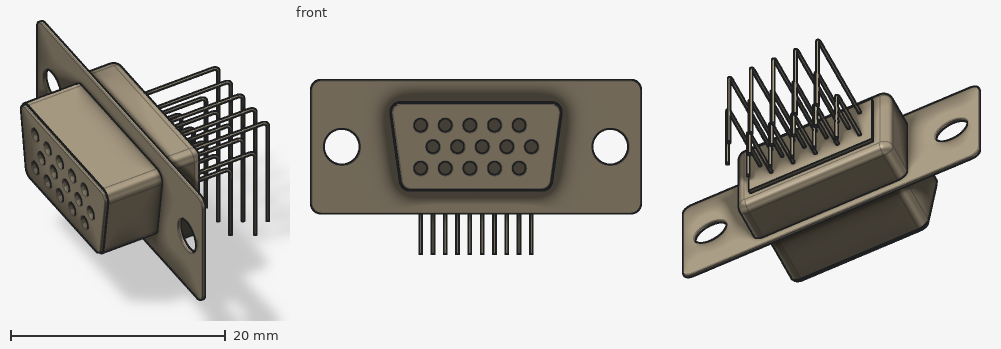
import cadquery as cq
import math


TOTAL_DEPTH = 19.9

FLANGE_WIDTH = 30.8
FLANGE_HEIGHT = 12.5
FLANGE_THICKNESS = 0.4
FLANGE_CORNER_RADIUS = 1.0
FLANGE_EDGE_FILLET = 0.1
SCREW_HOLE_DIAMETER = 3.3
SCREW_HOLE_SPACING = 25.0

MATING_LENGTH = 6.1
SHELL_TOP = 4.2
SHELL_BOTTOM = -4.13
SHELL_TOP_WIDTH = 16.32
SHELL_SIDE_ANGLE = 8.0
SHELL_CORNER_RADIUS = 1.02

LIP_LENGTH = 0.3
LIP_INSET = 0.12
LIP_FILLET = 0.12

HOUSING_WIDTH = 15.92
HOUSING_HEIGHT = 10.32
HOUSING_LENGTH = 3.97
HOUSING_CORNER_RADIUS = 1.0
HOUSING_BACK_FILLET = 0.92
PLATE_WIDTH = 12.75
PLATE_HEIGHT = 7.27
PLATE_THICKNESS = 0.35

CONTACT_ROWS = 3
CONTACTS_PER_ROW = 5
CONTACT_FIELD_WIDTH = 10.32
CONTACT_PITCH = CONTACT_FIELD_WIDTH / (CONTACTS_PER_ROW - 0.5)
ROW_SPACING = 2.0
SOCKET_DIAMETER = 1.2
SOCKET_EDGE_FILLET = 0.1
SOCKET_DEPTH = MATING_LENGTH
PIN_DIAMETER = 0.3
PIN_BEND_RADIUS = 0.6
PIN_BOTTOM = -10.0

HOUSING_BACK = FLANGE_THICKNESS + HOUSING_LENGTH
PLATE_BACK = HOUSING_BACK + PLATE_THICKNESS
LAST_PIN_Y = TOTAL_DEPTH - MATING_LENGTH - PIN_DIAMETER / 2


def facing_back(y):
    """Workplane at depth y with local axes X and Z; extruding a positive distance goes toward -Y."""
    return cq.Workplane("XZ", origin=(0, y, 0))


def contact_positions():
    """(row, x, z) of every contact; row 0 is the top row."""
    positions = []
    for row in range(CONTACT_ROWS):
        stagger = CONTACT_PITCH / 4 if row == 1 else -CONTACT_PITCH / 4
        for column in range(CONTACTS_PER_ROW):
            x = stagger + (column - (CONTACTS_PER_ROW - 1) / 2) * CONTACT_PITCH
            positions.append((row, x, (1 - row) * ROW_SPACING))
    return positions


def make_flange():
    """Rounded plate with two screw holes and softened edges."""
    half_spacing = SCREW_HOLE_SPACING / 2
    blank = facing_back(FLANGE_THICKNESS).rect(FLANGE_WIDTH, FLANGE_HEIGHT).extrude(FLANGE_THICKNESS)
    return (
        blank.edges("|Y").fillet(FLANGE_CORNER_RADIUS)
        .faces("<Y").workplane(origin=(0, 0, 0))
        .pushPoints([(-half_spacing, 0), (half_spacing, 0)])
        .hole(SCREW_HOLE_DIAMETER)
        .faces("<Y or >Y").edges().fillet(FLANGE_EDGE_FILLET)
    )


def d_prism(inset, front_y):
    """Rounded D-shaped prism from the back of the flange forward to front_y, shrunk all round by inset."""
    half_top = SHELL_TOP_WIDTH / 2
    taper = (SHELL_TOP - SHELL_BOTTOM) * math.tan(math.radians(SHELL_SIDE_ANGLE))
    half_bottom = half_top - taper
    outline = [
        (-half_top, SHELL_TOP),
        (half_top, SHELL_TOP),
        (half_bottom, SHELL_BOTTOM),
        (-half_bottom, SHELL_BOTTOM),
    ]
    sketch = facing_back(FLANGE_THICKNESS).polyline(outline).close()
    if inset:
        sketch = sketch.offset2D(-inset)
    prism = sketch.extrude(FLANGE_THICKNESS - front_y)
    return prism.edges("|Y").fillet(SHELL_CORNER_RADIUS - inset)


def make_mating_body():
    """Shell with the insulator lip, both running back through the flange."""
    shell = d_prism(0, LIP_LENGTH - MATING_LENGTH)
    insulator = d_prism(LIP_INSET, -MATING_LENGTH).faces("<Y").edges().fillet(LIP_FILLET)
    return shell.union(insulator)


def make_housing():
    """Rear housing with rounded back edges, carrying the insulator plate."""
    housing = (
        facing_back(HOUSING_BACK).rect(HOUSING_WIDTH, HOUSING_HEIGHT).extrude(HOUSING_LENGTH)
        .edges("|Y").fillet(HOUSING_CORNER_RADIUS)
        .faces(">Y").edges().fillet(HOUSING_BACK_FILLET)
    )
    plate = facing_back(PLATE_BACK).rect(PLATE_WIDTH, PLATE_HEIGHT).extrude(PLATE_THICKNESS)
    return housing.union(plate)


def make_pin(row, x, z):
    """Round wire that leaves the housing along +Y and bends down to the board."""
    pin_y = LAST_PIN_Y - row * ROW_SPACING
    bend_start_y = pin_y - PIN_BEND_RADIUS
    bend_end_z = z - PIN_BEND_RADIUS
    bend_offset = PIN_BEND_RADIUS * math.sin(math.radians(45))
    path = (
        cq.Workplane("YZ", origin=(x, 0, 0))
        .moveTo(HOUSING_BACK, z)
        .lineTo(bend_start_y, z)
        .threePointArc((bend_start_y + bend_offset, bend_end_z + bend_offset), (pin_y, bend_end_z))
        .lineTo(pin_y, PIN_BOTTOM)
    )
    return facing_back(HOUSING_BACK).center(x, z).circle(PIN_DIAMETER / 2).sweep(path)


def cut_sockets(body):
    """Drill a blind socket with a rounded rim for every contact."""
    centres = [(x, z) for _, x, z in contact_positions()]
    sockets = facing_back(SOCKET_DEPTH - MATING_LENGTH).pushPoints(centres).circle(SOCKET_DIAMETER / 2)
    body = body.cut(sockets.extrude(SOCKET_DEPTH))
    rims = body.faces("<Y").edges("%CIRCLE").edges(cq.selectors.RadiusNthSelector(0))
    return rims.fillet(SOCKET_EDGE_FILLET)


mating_body = cut_sockets(make_mating_body())
result = make_flange().union(mating_body).union(make_housing())
for contact in contact_positions():
    result = result.union(make_pin(*contact))